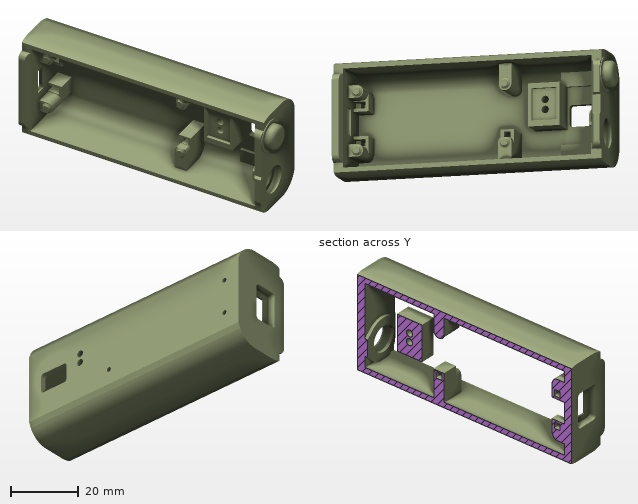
import cadquery as cq
import math


body_length = 82.9
body_depth = 18.3
body_height = 34.2
rim_half_height = 16.3
side_flat_front = 3.6
side_flat_back = 10.9
back_radius = 7.6
back_chamfer_depth = 0.8
back_half_height = 11.4
floor_y = 16.5
cavity_corner_radius = 5.0
cavity_half_height = 14.9
cavity_left = 2.9
cavity_right = 79.8

lip_height = 2.1
lip_half_height = 13.4
left_lip_tip = 2.2
right_lip_tip = 2.0
notch_depth = 0.8
notch_floor_half = 2.8
notch_mouth_half = 3.3

knob_y = 3.6
knob_z = 9.6
knob_diameter = 8.0
knob_tip = 86.3
knob_edge_radius = 1.55
flange_diameter = 10.6
flange_thickness = 0.3

port_y = 6.2
port_recess_width = 8.1
port_recess_height = 12.25
port_recess_radius = 1.1
port_recess_depth = 2.4
port_width = 3.45
port_height = 8.1

ring_y = 5.95
ring_z = -7.8
ring_radius = 7.4
ring_thickness = 1.0
ring_bore = 9.0
ring_back = 15.45
gap_top = -6.1
gap_bottom = -11.0
hook_front = 0.4
foot_front = 2.85
seat_diameter = 12.0
seat_depth = 1.0
seat_exit_diameter = 9.0

post_front = 5.35
middle_shelf_front = 7.85
post_z = 8.9
pin_base_diameter = 3.3
pin_base_height = 0.4
pin_diameter = 2.2
pin_height = 0.8
socket_size = 2.1
socket_hole = 1.55
left_post_x = 5.6
left_post_radius = 1.9
left_block_right = 7.7
left_block_end = 3.7
left_socket_z = 5.7
left_shelf_front = 10.5
channel_depth = 2.6
middle_post_x = 51.35
middle_post_radius = 2.1
lower_post_top = -7.4
middle_left = middle_post_x - middle_post_radius
middle_right = middle_post_x + middle_post_radius
middle_block_end = 4.6
middle_socket_z = 6.3
groove_width = 1.1
groove_depth = 0.8
groove_end = 7.4

sensor_left = 57.7
sensor_right = 67.5
sensor_bottom = -4.05
sensor_top = 9.0
sensor_front = 8.0
sensor_pocket_left = 58.8
sensor_pocket_right = 66.6
sensor_pocket_bottom = -2.25
sensor_pocket_top = 7.4
sensor_pocket_depth = 1.0
sensor_hole_x = 62.7
sensor_hole_zs = (1.0, 4.05)
sensor_hole_diameter = 2.25

pad_left = 65.85
pad_front = 15.4
pad_inner = 8.7
plate_left = 66.9
plate_front = 16.3
window_left = 68.2
window_right = 78.1
window_half_height = 3.3
window_radius = 0.9


def box(x0, x1, y0, y1, z0, z1):
    """Box between the given limits."""
    return cq.Workplane("XY").box(x1 - x0, y1 - y0, z1 - z0, centered=False).translate((x0, y0, z0))


def rod_x(diameter, x0, x1, y, z):
    """Cylinder along X."""
    return cq.Workplane("YZ", origin=(x0, y, z)).circle(diameter / 2).extrude(x1 - x0)


def rod_y(diameter, y0, y1, x, z):
    """Cylinder along Y."""
    return cq.Workplane("XZ", origin=(x, y0, z)).circle(diameter / 2).extrude(y0 - y1)


def mirrored(shape):
    """Shape together with its mirror image across Z = 0."""
    return shape.union(shape.mirror("XY"))


def outer_shell():
    half = body_height / 2
    arc_center_z = half - back_radius
    rim_rise = half - rim_half_height
    rim_radius = (side_flat_front**2 + rim_rise**2) / (2 * rim_rise)
    rim_angle = math.asin(side_flat_front / rim_radius) / 2
    rim_mid_y = side_flat_front - rim_radius * math.sin(rim_angle)
    rim_mid_z = half - rim_radius * (1 - math.cos(rim_angle))
    corner_y = body_depth - back_chamfer_depth
    corner_angle = math.asin((corner_y - side_flat_back) / back_radius)
    corner_z = arc_center_z + back_radius * math.cos(corner_angle)
    corner_mid_y = side_flat_back + back_radius * math.sin(corner_angle / 2)
    corner_mid_z = arc_center_z + back_radius * math.cos(corner_angle / 2)
    upper_half = (
        cq.Workplane("YZ")
        .moveTo(0, 0)
        .lineTo(0, rim_half_height)
        .threePointArc((rim_mid_y, rim_mid_z), (side_flat_front, half))
        .lineTo(side_flat_back, half)
        .threePointArc((corner_mid_y, corner_mid_z), (corner_y, corner_z))
        .lineTo(body_depth, back_half_height)
        .lineTo(body_depth, 0)
        .close()
        .extrude(body_length)
    )
    return mirrored(upper_half)


def cavity():
    block = box(cavity_left, cavity_right, 0, floor_y, -cavity_half_height, cavity_half_height)
    return block.edges("|X and >Y").fillet(cavity_corner_radius)


def lips():
    outline = (
        cq.Workplane("YZ")
        .rect(2 * lip_height, 2 * lip_half_height)
        .extrude(body_length)
        .edges("|X and <Y")
        .fillet(lip_height)
        .intersect(box(0, body_length, -lip_height, 0, -lip_half_height, lip_half_height))
    )
    left_section = [(0, 0), (cavity_left, 0), (left_lip_tip, -lip_height), (0, -lip_height)]
    right_section = [
        (body_length, 0),
        (cavity_right, 0),
        (body_length - right_lip_tip, -lip_height),
        (body_length, -lip_height),
    ]
    notch = (
        cq.Workplane("YZ", origin=(body_length / 2, 0, 0))
        .polyline([
            (-lip_height, notch_mouth_half),
            (notch_depth - lip_height, notch_floor_half),
            (notch_depth - lip_height, -notch_floor_half),
            (-lip_height, -notch_mouth_half),
        ])
        .close()
        .extrude(body_length / 2)
    )
    wedges = cq.Workplane("XY")
    for section in (left_section, right_section):
        wedges = wedges.add(
            cq.Workplane("XY").polyline(section).close().extrude(lip_half_height, both=True)
        )
    return outline.intersect(wedges.combine()).cut(notch)


def knob():
    flange = rod_x(flange_diameter, body_length, body_length + flange_thickness, knob_y, knob_z)
    cap = rod_x(knob_diameter, body_length, knob_tip, knob_y, knob_z)
    return flange.union(cap.faces(">X").edges().fillet(knob_edge_radius))


def port():
    recess = (
        cq.Workplane("YZ", origin=(0, port_y, 0))
        .rect(port_recess_width, port_recess_height)
        .extrude(port_recess_depth)
        .edges("|X")
        .fillet(port_recess_radius)
    )
    opening = cq.Workplane("YZ", origin=(0, port_y, 0)).rect(port_width, port_height).extrude(cavity_left)
    return recess.union(opening)


def hooked_ring():
    """Teardrop plate around the opening, its point cut flat, its front cut to a hook and a foot."""
    x0 = cavity_right - ring_thickness
    tangent_offset = ring_radius * math.sqrt(0.5)
    flat_reach = ring_back - ring_y
    flat_half = 2 * tangent_offset - flat_reach
    point = (
        cq.Workplane("YZ", origin=(x0, ring_y, ring_z))
        .polyline([
            (0, 0),
            (tangent_offset, tangent_offset),
            (flat_reach, flat_half),
            (flat_reach, -flat_half),
            (tangent_offset, -tangent_offset),
        ])
        .close()
        .extrude(ring_thickness)
    )
    plate = rod_x(2 * ring_radius, x0, cavity_right, ring_y, ring_z).union(point)
    front = ring_y - ring_radius
    gap = box(x0, cavity_right, front, ring_y, gap_bottom, gap_top)
    hook_trim = box(x0, cavity_right, front, hook_front, gap_top, ring_z + ring_radius)
    foot_trim = box(x0, cavity_right, front, foot_front, ring_z - ring_radius, gap_bottom)
    bore = rod_x(ring_bore, x0, cavity_right, ring_y, ring_z)
    return plate.cut(gap).cut(hook_trim).cut(foot_trim).cut(bore)


def round_opening():
    """Seat behind the ring that narrows through a 45 degree cone to the outer hole."""
    cone_depth = (seat_diameter - seat_exit_diameter) / 2
    seat_end = cavity_right + seat_depth
    section = [
        (cavity_right, 0),
        (cavity_right, seat_diameter / 2),
        (seat_end, seat_diameter / 2),
        (seat_end + cone_depth, seat_exit_diameter / 2),
        (body_length, seat_exit_diameter / 2),
        (body_length, 0),
    ]
    opening = cq.Workplane("XY").polyline(section).close().revolve(360, (0, 0, 0), (1, 0, 0))
    return opening.translate((0, ring_y, ring_z))


def locating_pin(x, z):
    """Pin with a flared base on the front of a post."""
    base = (
        cq.Workplane("XZ", origin=(x, post_front, z))
        .circle(pin_base_diameter / 2)
        .workplane(offset=pin_base_height)
        .circle(pin_diameter / 2)
        .loft()
    )
    return base.union(rod_y(pin_diameter, post_front - pin_height, post_front, x, z))


def socket(x, z, front):
    """Square socket from the shelf front to the floor, ending in a round hole through the floor."""
    half = socket_size / 2
    square = box(x - half, x + half, front, floor_y, z - half, z + half)
    return square.union(rod_y(socket_hole, floor_y, body_depth, x, z))


def left_socket():
    """Upper left socket with the channel that opens it toward the end wall."""
    half = socket_size / 2
    channel_back = left_shelf_front + channel_depth
    channel = box(
        cavity_left, left_post_x, left_shelf_front, channel_back, left_socket_z - half, left_socket_z + half
    )
    return channel.union(socket(left_post_x, left_socket_z, left_shelf_front))


def left_standoff():
    """Upper standoff beside the left end wall, without its socket."""
    arm_bottom = post_z - left_post_radius
    arm_top = post_z + left_post_radius
    block = box(cavity_left, left_block_right, left_shelf_front, body_depth, left_block_end, post_z)
    arm = box(cavity_left, left_post_x, post_front, body_depth, arm_bottom, arm_top)
    post = rod_y(2 * left_post_radius, post_front, body_depth, left_post_x, post_z)
    return block.union(arm).union(post).union(locating_pin(left_post_x, post_z))


def middle_post():
    """Upper rounded post joined to the side wall, with its pin."""
    rib = box(middle_left, middle_right, post_front, body_depth, post_z, cavity_half_height)
    post = rod_y(2 * middle_post_radius, post_front, body_depth, middle_post_x, post_z)
    return rib.union(post).union(locating_pin(middle_post_x, post_z))


def middle_standoffs():
    groove_right = middle_left + groove_width
    groove_back = post_front + groove_depth
    groove = box(middle_left, groove_right, 0, groove_back, groove_end, cavity_half_height)
    upper = middle_post().cut(groove)
    shelf = box(middle_left, middle_right, middle_shelf_front, body_depth, -cavity_half_height, -middle_block_end)
    shelf_side = box(middle_left, middle_right, 0, middle_shelf_front, lower_post_top, 0)
    lower = middle_post().mirror("XY").cut(shelf_side)
    return upper.union(lower.union(shelf).cut(socket(middle_post_x, -middle_socket_z, middle_shelf_front)))


def sensor_block():
    block = box(sensor_left, sensor_right, sensor_front, body_depth, sensor_bottom, sensor_top)
    pocket = box(
        sensor_pocket_left,
        sensor_pocket_right,
        sensor_front,
        sensor_front + sensor_pocket_depth,
        sensor_pocket_bottom,
        sensor_pocket_top,
    )
    return block.cut(pocket)


def floor_window():
    return (
        box(window_left, window_right, plate_front, body_depth, -window_half_height, window_half_height)
        .edges("|Y")
        .fillet(window_radius)
    )


shell = outer_shell()
pads = mirrored(box(pad_left, cavity_right, pad_front, body_depth, pad_inner, cavity_half_height))
inner_features = (
    mirrored(left_standoff())
    .union(middle_standoffs())
    .union(pads)
    .union(hooked_ring())
    .intersect(shell)
)

result = (
    shell.cut(cavity())
    .union(box(plate_left, cavity_right, plate_front, body_depth, -pad_inner, pad_inner))
    .union(inner_features)
    .union(sensor_block())
    .cut(floor_window())
    .union(lips())
    .cut(port())
    .cut(round_opening())
    .union(knob())
    .cut(mirrored(left_socket()))
    .cut(rod_y(socket_hole, floor_y, body_depth, middle_post_x, -middle_socket_z))
)
for hole_z in sensor_hole_zs:
    result = result.cut(rod_y(sensor_hole_diameter, sensor_front, body_depth, sensor_hole_x, hole_z))